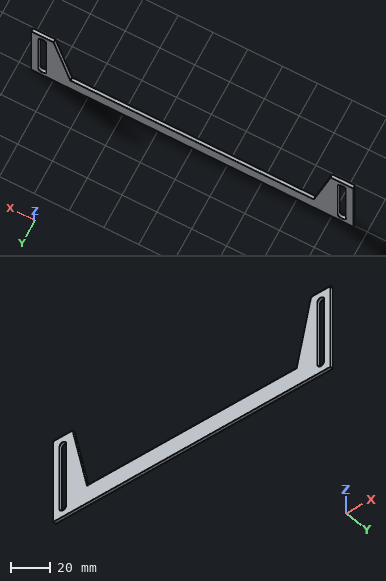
import cadquery as cq

length = 185.0
height = 55.0
thickness = 2.0

bar_height = 12.0
arm_top_width = 13.0
arm_base_width = 22.5

slot_width = 4.5
slot_length = 46.2
slot_edge_distance = arm_top_width / 2
slot_center_height = height / 2

half_length = length / 2
half_top_gap = half_length - arm_top_width
half_base_gap = half_length - arm_base_width
slot_offset = half_length - slot_edge_distance

outline = [
    (-half_length, 0),
    (half_length, 0),
    (half_length, height),
    (half_top_gap, height),
    (half_base_gap, bar_height),
    (-half_base_gap, bar_height),
    (-half_top_gap, height),
    (-half_length, height),
]
plate = cq.Workplane("XZ").polyline(outline).close().extrude(thickness / 2, both=True)

slots = (
    cq.Workplane("XZ")
    .pushPoints([(-slot_offset, slot_center_height), (slot_offset, slot_center_height)])
    .slot2D(slot_length, slot_width, angle=90)
    .extrude(thickness, both=True)
)

result = plate.cut(slots)